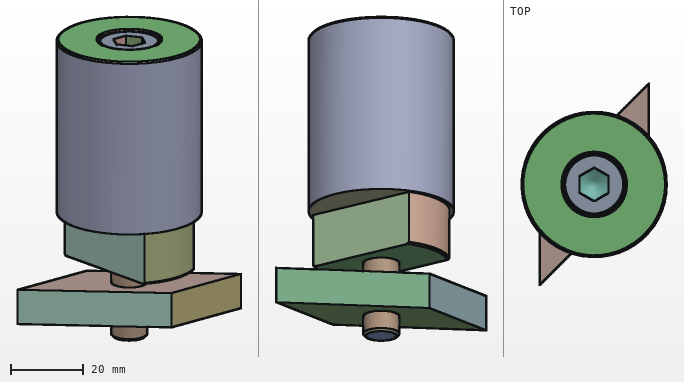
import cadquery as cq
import math

total_height = 86.0

body_diameter = 40.0
body_height = 50.0
edge_chamfer = 0.5
tongue_diameter = 38.0
tongue_width = 18.0
tongue_height = 15.0
bore_chamfer = 0.5

shank_diameter = 10.0
tip_chamfer = 0.7
head_diameter = 16.0
head_height = 10.0
head_recess = 0.5
head_clearance = 0.5
socket_across_flats = 8.0
socket_depth = 6.0
drill_point_angle = 118.0

plate_length_x = 30.0
plate_width = tongue_width
plate_thickness = 10.0
plate_bottom = 5.7

body_bottom = total_height - body_height
tongue_bottom = body_bottom - tongue_height
head_top = total_height - head_recess
head_bottom = head_top - head_height
bore_diameter = head_diameter + 2 * head_clearance


def cylinder(diameter, bottom, top):
    return cq.Workplane("XY").workplane(offset=bottom).circle(diameter / 2).extrude(top - bottom)


def make_tongue():
    """Round boss with a chamfered lower rim, cut to two flats facing +Y and -Y."""
    boss = cylinder(tongue_diameter, tongue_bottom, body_bottom).faces("<Z").chamfer(edge_chamfer)
    slab = (
        cq.Workplane("XY")
        .workplane(offset=tongue_bottom)
        .rect(tongue_diameter, tongue_width)
        .extrude(tongue_height)
    )
    return boss.intersect(slab)


def make_housing():
    """Cylinder and tongue in one piece with the screw, whose head stands free in a counterbore."""
    body = cylinder(body_diameter, body_bottom, total_height).faces(">Z").chamfer(edge_chamfer)
    counterbore = cylinder(bore_diameter, head_bottom, total_height)
    bore_rim = cq.selectors.RadiusNthSelector(0)
    bored = body.cut(counterbore).faces(">Z").edges(bore_rim).chamfer(bore_chamfer)
    return bored.union(make_tongue()).union(make_screw())


def make_socket():
    """Hexagonal recess, corners on the Y axis, with its floor shaped by a conical drill point."""
    corner_diameter = socket_across_flats / math.cos(math.pi / 6)
    cone_radius = corner_diameter / 2
    cone_depth = cone_radius / math.tan(math.radians(drill_point_angle / 2))
    cone_rim = head_top - socket_depth
    cone_tip = cone_rim - cone_depth
    hexagon = (
        cq.Workplane("XY")
        .workplane(offset=cone_tip)
        .polygon(6, corner_diameter)
        .extrude(socket_depth + cone_depth)
        .rotate((0, 0, 0), (0, 0, 1), 90)
    )
    drilled_space = (
        cq.Workplane("XZ")
        .polyline([(0, cone_tip), (cone_radius, cone_rim), (cone_radius, head_top), (0, head_top)])
        .close()
        .revolve(360, (0, 0, 0), (0, 1, 0))
    )
    return hexagon.intersect(drilled_space)


def make_plate():
    """Parallelogram plate with a hole that fits the screw shank."""
    half_x = plate_length_x / 2
    side_length_y = plate_width * math.sqrt(2)
    half_y = (plate_length_x + side_length_y) / 2
    corners = [
        (half_x, half_y),
        (-half_x, half_y - plate_length_x),
        (-half_x, -half_y),
        (half_x, plate_length_x - half_y),
    ]
    shank_hole = cylinder(shank_diameter, plate_bottom, plate_bottom + plate_thickness)
    plate = (
        cq.Workplane("XY")
        .workplane(offset=plate_bottom)
        .polyline(corners)
        .close()
        .extrude(plate_thickness)
    )
    return plate.cut(shank_hole)


def make_screw():
    """Chamfered shank and round head with a hexagonal socket."""
    shank = cylinder(shank_diameter, 0, head_bottom).faces("<Z").chamfer(tip_chamfer)
    head = cylinder(head_diameter, head_bottom, head_top).cut(make_socket())
    return shank.union(head)


housing = make_housing()
clamp_plate = make_plate()

result = cq.Compound.makeCompound([housing.val(), clamp_plate.val()])